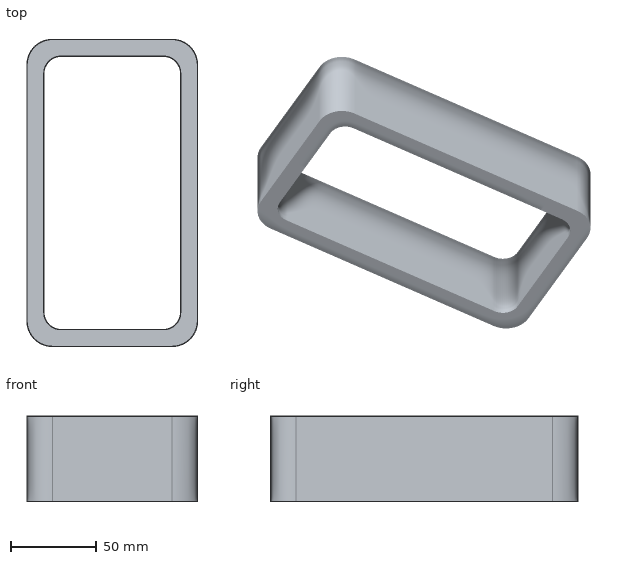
import cadquery as cq

width = 100.0
length = 180.0
height = 50.0

wall = 10.0
outer_corner_radius = 15.0
inner_corner_radius = 10.0


def rounded_block(size_x, size_y, corner_radius):
    """Block of the full height with rounded vertical corners, standing on Z = 0."""
    block = cq.Workplane("XY").rect(size_x, size_y).extrude(height)
    return block.edges("|Z").fillet(corner_radius)


outer_body = rounded_block(width, length, outer_corner_radius)
opening = rounded_block(width - 2 * wall, length - 2 * wall, inner_corner_radius)

result = outer_body.cut(opening)